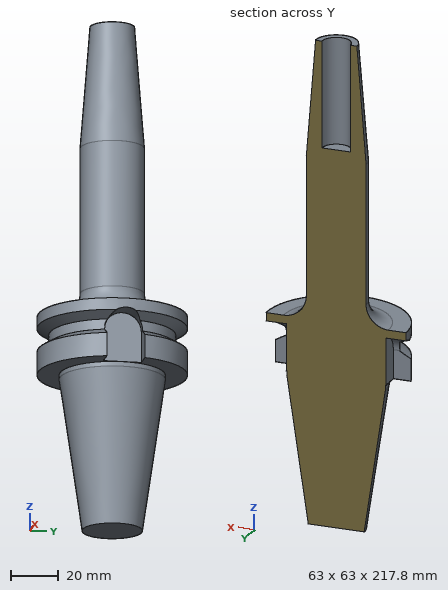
import cadquery as cq

gauge_z = 65.3
flange_bottom_z = 67.3
groove_lower_edge_z = 77.3
groove_floor_bottom_z = 80.2
groove_floor_top_z = 84.5
groove_upper_edge_z = 87.3
flange_top_z = 92.3
nose_start_z = 165.3
total_height = 217.8

taper_small_radius = 12.6
taper_large_radius = 22.2
flange_radius = 63.0 / 2
groove_radius = 26.5
stem_radius = 13.5
nose_tip_radius = 9.4
stem_fillet_radius = 10.0

bore_radius = 6.3
bore_depth = 48.0

slot_width = 16.1
slot_floor_x = 22.5
slot_top_z = 88.5


def turned_body():
    """Taper, grooved flange, filleted stem and conical nose as one revolution."""
    fillet_outer_radius = stem_radius + stem_fillet_radius
    fillet_top_z = flange_top_z + stem_fillet_radius
    profile = (
        cq.Workplane("XZ")
        .lineTo(taper_small_radius, 0)
        .lineTo(taper_large_radius, gauge_z)
        .lineTo(taper_large_radius, flange_bottom_z)
        .lineTo(flange_radius, flange_bottom_z)
        .lineTo(flange_radius, groove_lower_edge_z)
        .lineTo(groove_radius, groove_floor_bottom_z)
        .lineTo(groove_radius, groove_floor_top_z)
        .lineTo(flange_radius, groove_upper_edge_z)
        .lineTo(flange_radius, flange_top_z)
        .lineTo(fillet_outer_radius, flange_top_z)
        .radiusArc((stem_radius, fillet_top_z), stem_fillet_radius)
        .lineTo(stem_radius, nose_start_z)
        .lineTo(nose_tip_radius, total_height)
        .lineTo(0, total_height)
        .close()
    )
    return profile.revolve(360, (0, 0, 0), (0, 1, 0))


def tool_bore():
    """Blind bore going down from the nose tip."""
    return (
        cq.Workplane("XY", origin=(0, 0, total_height - bore_depth))
        .circle(bore_radius)
        .extrude(bore_depth)
    )


def drive_slot(side):
    """Round-topped slot, open at the flange bottom; side is -1 or 1 along X."""
    half_width = slot_width / 2
    arc_start_z = slot_top_z - half_width
    slot_depth = flange_radius - slot_floor_x
    return (
        cq.Workplane("YZ", origin=(side * slot_floor_x, 0, 0))
        .moveTo(-half_width, flange_bottom_z)
        .lineTo(half_width, flange_bottom_z)
        .lineTo(half_width, arc_start_z)
        .threePointArc((0, slot_top_z), (-half_width, arc_start_z))
        .close()
        .extrude(side * slot_depth)
    )


result = turned_body().cut(tool_bore())
for side in (-1, 1):
    result = result.cut(drive_slot(side))